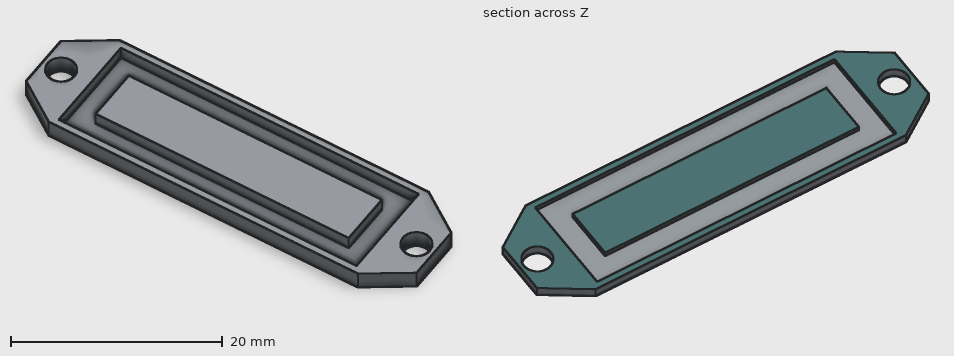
import cadquery as cq

length = 44.05
width = 12.25
thickness = 2.0
straight_side_length = 34.9
end_width = 6.0

pocket_length = 33.55
pocket_width = 10.75
pocket_depth = 1.4
island_length = 28.55
island_width = 5.73
island_height = pocket_depth

hole_diameter = 3.0
hole_spacing = 40.1

pocket_floor = thickness - pocket_depth


def make_plate():
    """Rectangular plate whose four corners are cut off at an angle."""
    corner_length = (length - straight_side_length) / 2
    corner_width = (width - end_width) / 2
    plate = cq.Workplane("XY").rect(length, width).extrude(thickness)
    for side_x in (-1, 1):
        for side_y in (-1, 1):
            corner = (side_x * length / 2, side_y * width / 2)
            on_side = (corner[0] - side_x * corner_length, corner[1])
            on_end = (corner[0], corner[1] - side_y * corner_width)
            cutter = cq.Workplane("XY").polyline([corner, on_side, on_end]).close().extrude(thickness)
            plate = plate.cut(cutter)
    return plate


def make_block_on_floor(block_length, block_width, height):
    """Centred block that rises from the pocket floor."""
    return cq.Workplane("XY", origin=(0, 0, pocket_floor)).rect(block_length, block_width).extrude(height)


def make_holes():
    """One through hole near each end."""
    centres = [(-hole_spacing / 2, 0), (hole_spacing / 2, 0)]
    return cq.Workplane("XY").pushPoints(centres).circle(hole_diameter / 2).extrude(thickness)


pocket = make_block_on_floor(pocket_length, pocket_width, pocket_depth)
island = make_block_on_floor(island_length, island_width, island_height)

result = make_plate().cut(pocket).union(island).cut(make_holes())